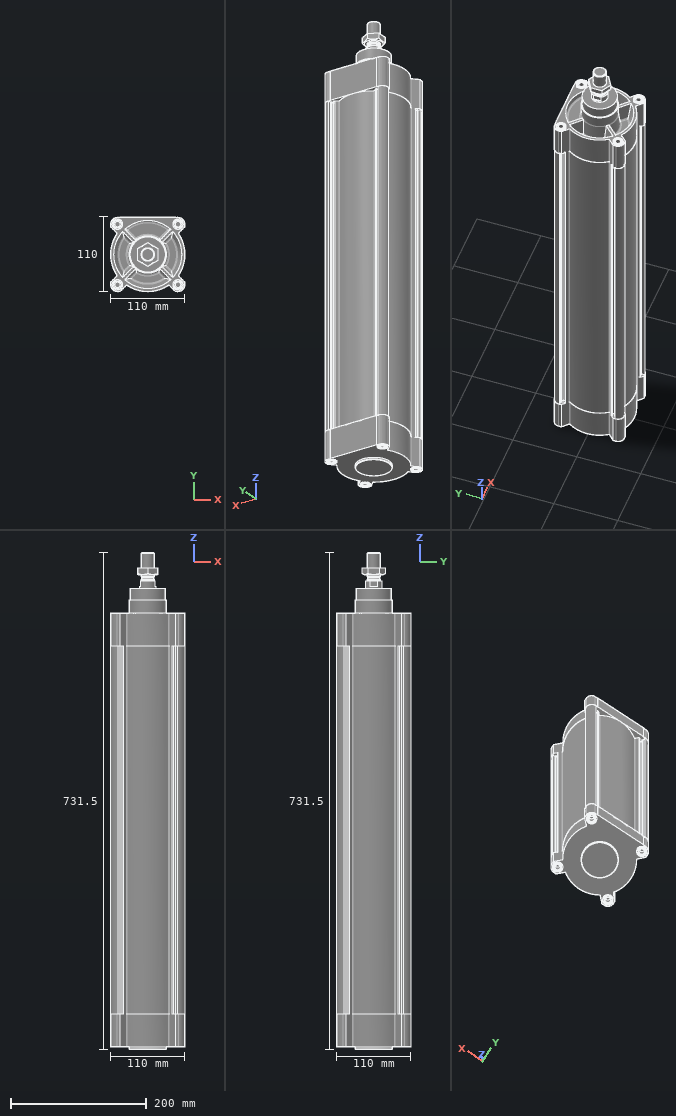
import cadquery as cq
import math

total_height = 731.5
spigot_height = 4.0
shoulder_z = 642.0
cap_height = 48.0
lower_cap_top = spigot_height + cap_height
upper_cap_bottom = shoulder_z - cap_height

tube_half_width = 55.0
cap_inset = 0.4
neck_offset = 14.0
cap_corner_radius = 9.5
tube_corner_radius = 12.0
lug_root_fillet = 1.0

slot_center = 39.5
slot_width = 8.0
slot_floor = 50.0
channel_diameter = 5.5
channel_center = 47.5

collar_diameter = 55.0
collar_tip_diameter = 52.0
spigot_chamfer = 1.0
collar_height = 36.5
collar_step_height = 19.0

rim_inner_diameter = 100.0
rim_draft = 15.0
collar_draft = 7.0
rib_width = 4.5
rib_draft = 10.0
pocket_floor_fillet = 1.5
deep_pocket_depth = 25.0
shallow_pocket_depth = 9.0

screw_position = 44.5
screw_recess_diameter = 15.0
screw_recess_depth = 2.0
screw_head_diameter = 12.0
screw_hole_diameter = 8.0
screw_hole_depth = 14.5

rod_diameter = 25.0
thread_diameter = 20.0
thread_end_diameter = 17.5
thread_groove_diameter = 18.0
thread_groove_height = 5.0
thread_land_height = 1.5
thread_groove_flank = 1.5
rod_collar_top = shoulder_z + collar_height
rod_shoulder_z = 690.0
flat_bottom_z = rod_collar_top + 3.0
flat_width = 22.0
rod_seat_z = upper_cap_bottom

nut_across_flats = 30.0
nut_height = 10.0
nut_bottom_z = 698.5
nut_flat_face_diameter = 28.0
nut_corner_angle = 30.0


def block(x_size, y_size, z_bottom, z_top):
    return (
        cq.Workplane("XY", origin=(0, 0, z_bottom))
        .rect(x_size, y_size)
        .extrude(z_top - z_bottom)
    )


def cylinder(diameter, z_bottom, z_top):
    return cq.Workplane("XY", origin=(0, 0, z_bottom)).circle(diameter / 2).extrude(z_top - z_bottom)


def lugged_profile(half_width, corner_radius, z_bottom, z_top):
    """Round barrel with a lug on each diagonal, each lug blended into the barrel."""
    height = z_top - z_bottom
    flat_start = half_width - neck_offset
    arc_start = half_width - corner_radius
    arc_middle = arc_start + corner_radius * math.sqrt(0.5)
    lug = (
        cq.Workplane("XY", origin=(0, 0, z_bottom))
        .moveTo(0, neck_offset)
        .lineTo(flat_start, half_width)
        .lineTo(arc_start, half_width)
        .threePointArc((arc_middle, arc_middle), (half_width, arc_start))
        .lineTo(half_width, flat_start)
        .lineTo(neck_offset, 0)
        .close()
        .extrude(height)
    )
    profile = cylinder(2 * half_width, z_bottom, z_top)
    for quarter in range(4):
        profile = profile.union(lug.rotate((0, 0, 0), (0, 0, 1), 90 * quarter))

    near = (math.sqrt(2 * half_width**2 - neck_offset**2) - neck_offset) / 2
    far = near + neck_offset
    middle_z = (z_bottom + z_top) / 2
    for x, y in ((near, far), (far, near)):
        for x_side in (-1, 1):
            for y_side in (-1, 1):
                root = cq.selectors.NearestToPointSelector((x_side * x, y_side * y, middle_z))
                profile = profile.edges("|Z").edges(root).fillet(lug_root_fillet)
    return profile


def end_cap(z_bottom, z_top):
    """Lugged cap whose +Y side is filled out to a flat port face."""
    half_width = tube_half_width - cap_inset
    port_width = 2 * (half_width - neck_offset)
    port_side = block(port_width, tube_half_width, z_bottom, z_top).translate((0, tube_half_width / 2, 0))
    return lugged_profile(half_width, cap_corner_radius, z_bottom, z_top).union(port_side)


def sensor_slot():
    """Flat-bottomed slot in the +Y side of a lug with a round channel along its floor."""
    depth = tube_half_width - slot_floor
    slot = block(slot_width, depth, lower_cap_top, upper_cap_bottom)
    channel = cylinder(channel_diameter, lower_cap_top, upper_cap_bottom)
    return slot.translate((0, slot_floor + depth / 2, 0)).union(channel.translate((0, channel_center, 0)))


def make_tube():
    tube = lugged_profile(tube_half_width, tube_corner_radius, lower_cap_top, upper_cap_bottom)
    for quarter in range(4):
        for side in (-1, 1):
            slot = sensor_slot().translate((side * slot_center, 0, 0))
            tube = tube.cut(slot.rotate((0, 0, 0), (0, 0, 1), 90 * quarter))
    return tube


def pocket_rib(depth, direction):
    """Drafted wall across the whole cap, widening towards the pocket floor."""
    top = rib_width / 2
    bottom = top + depth * math.tan(math.radians(rib_draft))
    rib = (
        cq.Workplane("YZ")
        .moveTo(-top, shoulder_z)
        .lineTo(top, shoulder_z)
        .lineTo(bottom, shoulder_z - depth)
        .lineTo(-bottom, shoulder_z - depth)
        .close()
        .extrude(tube_half_width, both=True)
    )
    return rib.rotate((0, 0, 0), (0, 0, 1), direction)


def cap_pocket(direction, depth):
    """Quarter of the ring between collar and rim, left free by the two diagonal ribs."""
    inner_top = collar_diameter / 2
    outer_top = rim_inner_diameter / 2
    inner_bottom = inner_top + depth * math.tan(math.radians(collar_draft))
    outer_bottom = outer_top - depth * math.tan(math.radians(rim_draft))
    floor_z = shoulder_z - depth
    ring = (
        cq.Workplane("XZ")
        .moveTo(inner_top, shoulder_z)
        .lineTo(outer_top, shoulder_z)
        .lineTo(outer_bottom, floor_z)
        .lineTo(inner_bottom, floor_z)
        .close()
        .revolve(360, (0, 0, 0), (0, 1, 0))
    )
    quarters = ring.cut(pocket_rib(depth, 45)).cut(pocket_rib(depth, 135))
    pocket = cq.Workplane(quarters.solids(">X").val())
    pocket = pocket.faces("<Z").edges().fillet(pocket_floor_fillet)
    return pocket.rotate((0, 0, 0), (0, 0, 1), direction)


def screw_recess(face_z, inward):
    """Ring recess around a screw head with a threaded hole; inward is the Z sense into the cap."""
    spacing = 2 * screw_position
    face = cq.Workplane("XY", origin=(0, 0, face_z))
    face = face.rect(spacing, spacing, forConstruction=True).vertices()
    ring = face.circle(screw_recess_diameter / 2).circle(screw_head_diameter / 2)
    recess = ring.extrude(inward * screw_recess_depth)
    holes = face.circle(screw_hole_diameter / 2).extrude(inward * screw_hole_depth)
    return recess.union(holes)


def make_housing():
    housing = make_tube().union(end_cap(spigot_height, lower_cap_top))
    housing = housing.union(end_cap(upper_cap_bottom, shoulder_z))
    for direction in (0, 180, 270):
        housing = housing.cut(cap_pocket(direction, deep_pocket_depth))
    housing = housing.cut(cap_pocket(90, shallow_pocket_depth))
    housing = housing.cut(screw_recess(shoulder_z, -1))
    housing = housing.cut(screw_recess(spigot_height, 1))

    step_z = shoulder_z + collar_step_height
    spigot = cylinder(collar_diameter, 0, spigot_height).faces("<Z").chamfer(spigot_chamfer)
    housing = housing.union(spigot)
    housing = housing.union(cylinder(collar_diameter, shoulder_z, step_z))
    housing = housing.union(cylinder(collar_tip_diameter, step_z, rod_collar_top))
    return housing.cut(cylinder(rod_diameter, rod_seat_z, rod_collar_top))


def thread_groove():
    """Groove with sloping flanks that ends the thread just above the rod shoulder."""
    bottom_z = rod_shoulder_z + thread_land_height
    top_z = bottom_z + thread_groove_height
    outer = thread_diameter / 2
    inner = thread_groove_diameter / 2
    return (
        cq.Workplane("XZ")
        .moveTo(outer, bottom_z)
        .lineTo(inner, bottom_z + thread_groove_flank)
        .lineTo(inner, top_z - thread_groove_flank)
        .lineTo(outer, top_z)
        .close()
        .revolve(360, (0, 0, 0), (0, 1, 0))
    )


def make_rod():
    shank = cylinder(rod_diameter, rod_seat_z, rod_shoulder_z)
    flats = block(flat_width, rod_diameter, flat_bottom_z, rod_shoulder_z)
    rod = cylinder(rod_diameter, rod_seat_z, flat_bottom_z).union(shank.intersect(flats))
    end_chamfer = (thread_diameter - thread_end_diameter) / 2
    thread = cylinder(thread_diameter, rod_shoulder_z, total_height).faces(">Z").chamfer(end_chamfer)
    rod = rod.union(thread)
    return rod.cut(thread_groove())


def make_nut():
    """Hexagon nut whose lower corners are turned off to a cone."""
    across_corners = nut_across_flats / math.cos(math.pi / 6)
    nut_top_z = nut_bottom_z + nut_height
    hexagon = (
        cq.Workplane("XY", origin=(0, 0, nut_bottom_z))
        .polygon(6, across_corners)
        .extrude(nut_height)
        .rotate((0, 0, 0), (0, 0, 1), 30)
    )
    corner_width = (across_corners - nut_flat_face_diameter) / 2
    corner_height = corner_width * math.tan(math.radians(nut_corner_angle))
    envelope = (
        cylinder(across_corners, nut_bottom_z, nut_top_z)
        .faces("<Z")
        .edges()
        .chamfer(corner_height, corner_width)
    )
    return hexagon.intersect(envelope).cut(cylinder(thread_diameter, nut_bottom_z, nut_top_z))


housing = make_housing()
rod = make_rod()
nut = make_nut()

result = cq.Compound.makeCompound([housing.val(), rod.val(), nut.val()])